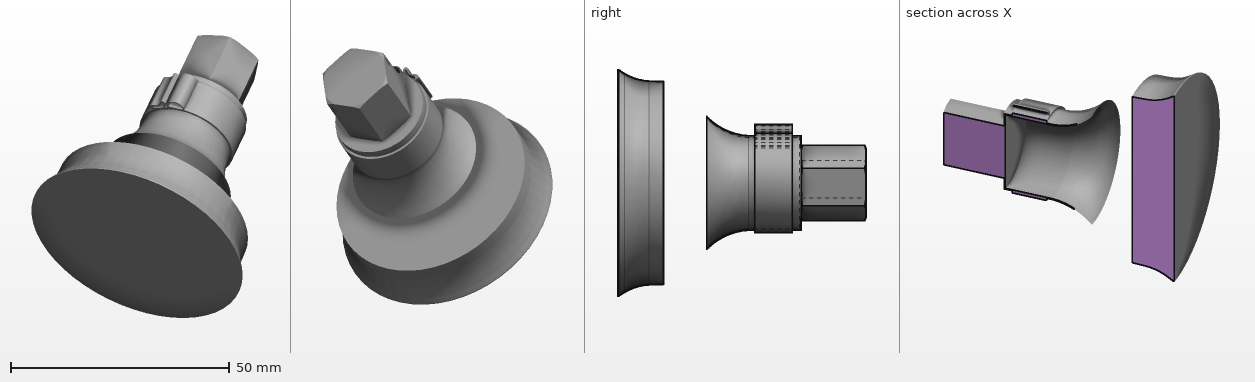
import cadquery as cq
import math


flare_slope = 3.0

disc_radius = 51.85 / 2
disc_lip_height = 0.2
disc_cone_top = 1.4
disc_cone_radius = 25.15
disc_arc_top = 7.05
disc_back = 10.5
disc_neck_radius = 23.4
disc_back_radius = 23.3

bell_rim_y = 20.3
bell_rim_radius = 15.25
bell_top_y = 29.95
bell_wall = 0.4
neck_radius = 21.7 / 2
bore_radius = neck_radius - bell_wall
neck_back = 42.0
bore_floor = neck_back - bell_wall
band_start = 31.4
band_end = 40.0
band_radius = 11.45
hex_end = 56.9
hex_across_flats = 15.15
hex_tilt = 7.0
hex_chamfer_inset = 0.85
hex_chamfer_length = 0.35
hex_corner_radius = hex_across_flats / math.sqrt(3)

root_depth = 0.4
root_radius = band_radius - root_depth
lobe_right = (-0.5, 11.5)
lobe_crest = (-2.45, 13.45)
lobe_left = (-4.65, 11.4)
lobe_foot = (-4.7, 10.15)
tunnel_wall = 0.35
tunnel_left = (-4.3, 11.05)
tunnel_base = (-2.45, 11.2)
hook_foot = (-5.1, 9.9)
hook_inner = (-5.1, 11.85)
hook_crest = (-5.7, 12.3)
hook_shoulder = (-6.2, 12.05)
hook_outer = (-6.45, 11.5)
hook_hollow = (-6.9, 10.4)
hook_ledge = (-8.1, 9.75)
hook_nose = (-8.75, 9.35)
hook_tip = (-9.0, 8.65)
hook_end = (-8.15, 8.1)
slot_top = (-5.5, 11.7)
slot_outer = (-6.1, 11.3)
slot_hollow = (-6.6, 10.15)
slot_ledge = (-7.9, 9.35)
slot_end = (-8.15, 8.5)
slot_base = (-6.9, 9.15)
slot_inner = (-5.5, 10.0)


def arc_middle(start, end):
    """Midpoint of the flare arc between (radius, y) points; it leaves start at the flare slope."""
    dr = end[0] - start[0]
    dy = end[1] - start[1]
    half_sweep = math.atan2(dr, -dy) - math.radians(flare_slope)
    bulge = math.tan(half_sweep / 2) / 2
    return (
        (start[0] + end[0]) / 2 + bulge * dy,
        (start[1] + end[1]) / 2 - bulge * dr,
    )


def revolve_about_y(profile):
    return profile.close().revolve(360, (0, 0, 0), (0, 1, 0))


def section(y):
    """Workplane across the axis at y, with local axes X and Z and its normal along -Y."""
    return cq.Workplane("XZ", origin=(0, y, 0))


def make_disc():
    arc_start = (disc_neck_radius, disc_arc_top)
    arc_end = (disc_cone_radius, disc_cone_top)
    profile = (
        cq.Workplane("XY")
        .lineTo(disc_radius, 0)
        .lineTo(disc_radius, disc_lip_height)
        .lineTo(*arc_end)
        .threePointArc(arc_middle(arc_start, arc_end), arc_start)
        .lineTo(disc_back_radius, disc_back)
        .lineTo(0, disc_back)
    )
    return revolve_about_y(profile)


def make_bell_and_neck():
    outer_top = (neck_radius, bell_top_y)
    rim = (bell_rim_radius, bell_rim_y)
    inner_top = (bore_radius, bell_top_y)
    profile = (
        cq.Workplane("XY")
        .moveTo(0, bore_floor)
        .lineTo(bore_radius, bore_floor)
        .lineTo(*inner_top)
        .threePointArc(arc_middle(inner_top, rim), rim)
        .threePointArc(arc_middle(outer_top, rim), outer_top)
        .lineTo(neck_radius, neck_back)
        .lineTo(0, neck_back)
    )
    return revolve_about_y(profile)


def make_band():
    width = band_end - band_start
    band = section(band_end).circle(band_radius).circle(bore_radius).extrude(width)
    lobe = (
        section(band_end)
        .moveTo(*lobe_right)
        .threePointArc(lobe_crest, lobe_left)
        .lineTo(*lobe_foot)
        .lineTo(lobe_right[0], root_radius)
        .close()
        .extrude(width)
    )
    tunnel = (
        section(band_end)
        .moveTo(lobe_right[0] - tunnel_wall, band_radius)
        .threePointArc((lobe_crest[0], lobe_crest[1] - tunnel_wall), tunnel_left)
        .threePointArc(tunnel_base, (lobe_right[0] - tunnel_wall, band_radius))
        .close()
        .extrude(width)
    )
    hook = (
        section(band_end)
        .moveTo(*hook_foot)
        .lineTo(*hook_inner)
        .lineTo(*hook_crest)
        .threePointArc(hook_shoulder, hook_outer)
        .threePointArc(hook_hollow, hook_ledge)
        .threePointArc(hook_nose, hook_tip)
        .lineTo(*hook_end)
        .lineTo(-root_radius * math.sqrt(0.5), root_radius * math.sqrt(0.5))
        .close()
        .extrude(width)
    )
    hook_slot = (
        section(band_end)
        .moveTo(*slot_inner)
        .lineTo(*slot_top)
        .lineTo(*slot_outer)
        .threePointArc(slot_hollow, slot_ledge)
        .lineTo(*slot_end)
        .threePointArc(slot_base, slot_inner)
        .close()
        .extrude(width)
    )
    return band.union(lobe).cut(tunnel).union(hook).cut(hook_slot)


def make_hexagon():
    length = hex_end - neck_back
    prism = (
        section(hex_end)
        .polygon(6, 2 * hex_corner_radius)
        .extrude(length)
        .rotate((0, 0, 0), (0, 1, 0), 30 + hex_tilt)
    )
    end_radius = hex_corner_radius - hex_chamfer_inset
    envelope = (
        cq.Workplane("XY")
        .moveTo(0, neck_back)
        .lineTo(end_radius, neck_back)
        .lineTo(hex_corner_radius, neck_back + hex_chamfer_length)
        .lineTo(hex_corner_radius, hex_end - hex_chamfer_length)
        .lineTo(end_radius, hex_end)
        .lineTo(0, hex_end)
    )
    return prism.intersect(revolve_about_y(envelope))


sealing_disc = make_disc()
holder = make_bell_and_neck().union(make_band()).union(make_hexagon())

result = cq.Compound.makeCompound([sealing_disc.val(), *holder.solids().vals()])